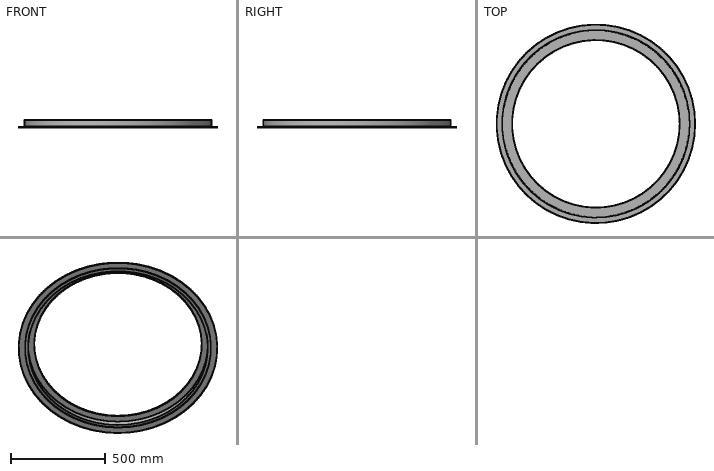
import cadquery as cq

total_height = 42.0
flange_outer_radius = 527.0
flange_thickness = 6.0
wall_outer_radius = 497.0
wall_inner_radius = 476.0
plate_inner_radius = 444.0
plate_thickness = 7.0
lower_chamfer = 4.0
top_fillet = 4.0
seat_rim_radius = 505.0
seat_depth = 1.0

spigot_radius = wall_outer_radius - lower_chamfer
seat_height = flange_thickness - seat_depth
plate_underside = total_height - plate_thickness


def revolve_profile(points):
    """Turn a closed (radius, height) outline about the Z axis."""
    return cq.Workplane("XZ").polyline(points).close().revolve(360, (0, 0, 0), (0, 1, 0))


def make_flange():
    """Flat ring whose top face dips slightly toward the cover it surrounds."""
    return revolve_profile([
        (spigot_radius, 0),
        (flange_outer_radius, 0),
        (flange_outer_radius, flange_thickness),
        (seat_rim_radius, flange_thickness),
        (spigot_radius, seat_height),
    ])


def make_cover():
    """Ring with a top plate, an upright wall and a spigot fitting inside the flange."""
    cover_blank = revolve_profile([
        (wall_inner_radius, 0),
        (spigot_radius, 0),
        (spigot_radius, seat_height),
        (wall_outer_radius, seat_height + lower_chamfer),
        (wall_outer_radius, total_height),
        (plate_inner_radius, total_height),
        (plate_inner_radius, plate_underside),
        (wall_inner_radius, plate_underside),
    ])
    outer_top_edge = cq.selectors.RadiusNthSelector(-1)
    return cover_blank.faces(">Z").edges(outer_top_edge).fillet(top_fillet)


flange = make_flange()
cover = make_cover()

result = cq.Compound.makeCompound([flange.val(), cover.val()])